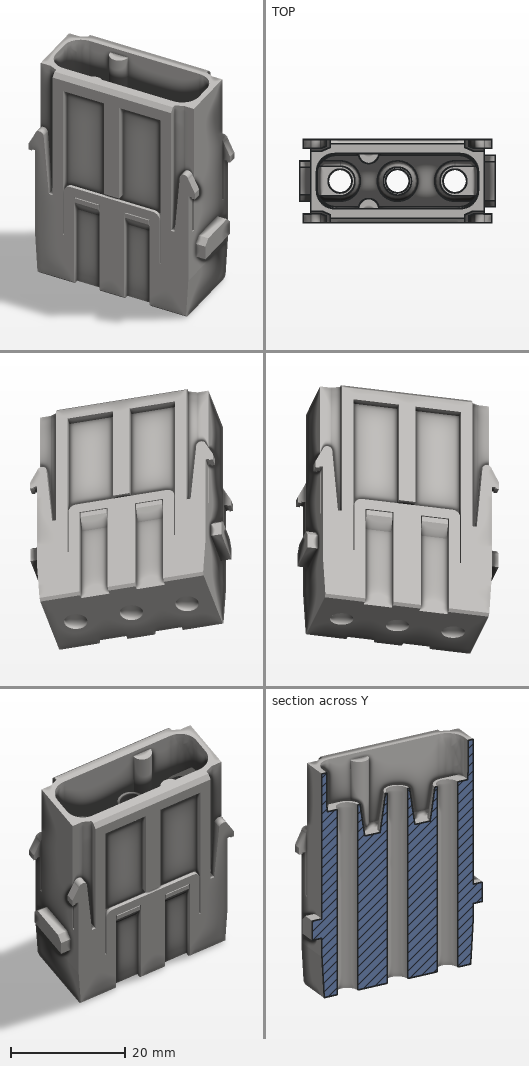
import cadquery as cq
import math

HEIGHT = 43.1
HALF_WIDTH = 15.2
HALF_DEPTH = 7.305
BASE_HALF_WIDTH = 14.75
BASE_TAPER_HEIGHT = 7.97
TOP_CHAMFER = 0.78
BASE_CHAMFER = 0.47

CORE_HALF_DEPTH = 5.25
PLATE_HALF_WIDTH = 11.75
BEVEL_START_X = 13.25
BEVEL_END_Y = 5.9
ARM_SLOT_BOTTOM = 17.5
ARM_GAP = 0.47

ARM_ROOT_X = 12.5
ARM_TIP_INNER_X = 13.55
ARM_TIP_Z = 30.13
ARM_SHOULDER_Z = 29.45
HOOK_X = 16.5
HOOK_TOP_Z = 26.9
HOOK_BOTTOM_Z = 25.6
HOOK_LIP = 0.65
HOOK_RELIEF = 0.25

TAB_REACH = 17.1
TAB_BOTTOM = 11.5
TAB_TOP = 15.3
TAB_CHAMFER = 1.1
TAB_WIDTH_LEFT = 7.1
TAB_WIDTH_RIGHT = 9.05

CAVITY_FLOOR = 29.3
CAVITY_HALF_X = 14.2
CAVITY_HALF_Y = 4.83
CAVITY_RADIUS = 3.28
CAVITY_DRAFT_X = 0.17
CAVITY_DRAFT_Y = 0.3

CONTACT_PITCH = 10.05
CONTACT_DIAMETER = 4.1
BOSS_BASE_RADIUS = 3.55
CENTER_BOSS_TOP = 36.55
OUTER_BOSS_TOP = 35.6
BOSS_DRAFT = 8.5
KEY_X = -5.05
KEY_RADIUS = 1.75
KEY_TOP = 42.02

PANEL_HALF_WIDTH = 9.7
PANEL_TOP = 40.13
PANEL_DEPTH = 1.5
RIB_WIDTH = 2.97
RIB_BOTTOM = 21.0
TONGUE_HALF_WIDTH = 9.53
TONGUE_TOP = 20.35
TONGUE_RADIUS = 1.4
TONGUE_SLIT_BOTTOM = 9.85
TONGUE_LIP = 0.6
TONGUE_RELIEF_BOTTOM = 19.4

GROOVE_X = 5.0
GROOVE_WIDTH = 5.1
GROOVE_TOP = 18.45
GROOVE_DEPTH = 1.3
RAMP_WIDTH = 4.7
RAMP_BOTTOM = 15.13
RAMP_FLAT_BOTTOM = 17.33
RAMP_TOP = 18.27

OVERCUT = 2.15


def box(x0, x1, y0, y1, z0, z1):
    return cq.Workplane("XY").box(x1 - x0, y1 - y0, z1 - z0, centered=False).translate((x0, y0, z0))


def front_prism(sketch, y0, y1):
    """Extrude an XZ outline from y0 to y1."""
    return sketch.extrude(y0 - y1).translate((0, y0, 0))


def mirrored(solid, plane):
    return solid.union(solid.mirror(plane))


def outer_body():
    front = cq.Workplane("XZ").polyline([
        (-BASE_HALF_WIDTH, 0),
        (BASE_HALF_WIDTH, 0),
        (HALF_WIDTH, BASE_TAPER_HEIGHT),
        (HALF_WIDTH, HEIGHT),
        (-HALF_WIDTH, HEIGHT),
        (-HALF_WIDTH, BASE_TAPER_HEIGHT),
    ]).close()
    body = front_prism(front, -HALF_DEPTH, HALF_DEPTH)
    body = body.faces(">Z").edges("|X").chamfer(TOP_CHAMFER)
    return body.faces("<Z").edges("|X").chamfer(BASE_CHAMFER)


def corner_prism(gap, z_top):
    """Volume in front of the core at the +X -Y corner, set back from the core by a gap."""
    bevel_slope = (BEVEL_END_Y - CORE_HALF_DEPTH) / (BEVEL_START_X - PLATE_HALF_WIDTH)
    bevel_shift = gap * math.tan(math.atan(bevel_slope) / 2)
    start_x = BEVEL_START_X + bevel_shift
    start_y = CORE_HALF_DEPTH + gap
    end_y = start_y + bevel_slope * (start_x - PLATE_HALF_WIDTH)
    far_x = HALF_WIDTH + OVERCUT
    far_y = HALF_DEPTH + OVERCUT
    outline = [
        (PLATE_HALF_WIDTH, -end_y),
        (start_x, -start_y),
        (far_x, -start_y),
        (far_x, -far_y),
        (PLATE_HALF_WIDTH, -far_y),
    ]
    base = cq.Workplane("XY").workplane(offset=ARM_SLOT_BOTTOM)
    return base.polyline(outline).close().extrude(z_top - ARM_SLOT_BOTTOM)


def latch_arm():
    tip_x = (ARM_TIP_INNER_X + HALF_WIDTH) / 2
    lip_x = HOOK_X - HOOK_LIP
    outline = (
        cq.Workplane("XZ")
        .moveTo(ARM_ROOT_X, ARM_SLOT_BOTTOM)
        .lineTo(ARM_TIP_INNER_X, ARM_SHOULDER_Z)
        .threePointArc((tip_x, ARM_TIP_Z), (HALF_WIDTH, ARM_SHOULDER_Z))
        .lineTo(HOOK_X, HOOK_TOP_Z)
        .lineTo(HOOK_X, HOOK_BOTTOM_Z)
        .lineTo(lip_x, HOOK_BOTTOM_Z)
        .lineTo(lip_x, HOOK_BOTTOM_Z + HOOK_RELIEF)
        .lineTo(HALF_WIDTH, HOOK_BOTTOM_Z + HOOK_RELIEF)
        .lineTo(HALF_WIDTH, ARM_SLOT_BOTTOM)
        .close()
    )
    arm = front_prism(outline, -HALF_DEPTH, -CORE_HALF_DEPTH)
    return arm.intersect(corner_prism(ARM_GAP, HEIGHT))


def coding_tab(width):
    """Tab at +X, rooted inside the side wall."""
    tab = cq.Workplane("YZ").rect(width, TAB_TOP - TAB_BOTTOM).extrude(TAB_REACH - BASE_HALF_WIDTH)
    tab = tab.edges("|X and >Z").chamfer(TAB_CHAMFER)
    return tab.translate((BASE_HALF_WIDTH, 0, (TAB_TOP + TAB_BOTTOM) / 2))


def cavity():
    def rounded_rectangle(half_x, half_y, radius):
        return cq.Sketch().rect(2 * half_x, 2 * half_y).vertices().fillet(radius)

    floor = rounded_rectangle(CAVITY_HALF_X - CAVITY_DRAFT_X, CAVITY_HALF_Y - CAVITY_DRAFT_Y, CAVITY_RADIUS)
    rim = rounded_rectangle(CAVITY_HALF_X, CAVITY_HALF_Y, CAVITY_RADIUS)
    depth = HEIGHT - CAVITY_FLOOR
    return (
        cq.Workplane("XY")
        .workplane(offset=CAVITY_FLOOR)
        .placeSketch(floor, rim.moved(cq.Location(cq.Vector(0, 0, depth))))
        .loft(ruled=True)
    )


def center_boss():
    base = cq.Workplane("XY").workplane(offset=CAVITY_FLOOR)
    return base.circle(BOSS_BASE_RADIUS).extrude(CENTER_BOSS_TOP - CAVITY_FLOOR, taper=BOSS_DRAFT)


def outer_boss():
    """Half-round boss at +X whose straight flanks run into the end wall."""
    far_x = HALF_WIDTH + OVERCUT
    outline = (
        cq.Workplane("XY")
        .workplane(offset=CAVITY_FLOOR)
        .moveTo(far_x, BOSS_BASE_RADIUS)
        .lineTo(CONTACT_PITCH, BOSS_BASE_RADIUS)
        .threePointArc((CONTACT_PITCH - BOSS_BASE_RADIUS, 0), (CONTACT_PITCH, -BOSS_BASE_RADIUS))
        .lineTo(far_x, -BOSS_BASE_RADIUS)
        .close()
    )
    return outline.extrude(OUTER_BOSS_TOP - CAVITY_FLOOR, taper=BOSS_DRAFT)


def key_ribs():
    base = cq.Workplane("XY").workplane(offset=CAVITY_FLOOR)
    centers = [(KEY_X, -CAVITY_HALF_Y), (KEY_X, CAVITY_HALF_Y)]
    return base.pushPoints(centers).circle(KEY_RADIUS).extrude(KEY_TOP - CAVITY_FLOOR)


def panel_recess():
    """Front recess around the rib and the tongue, including the slits beside the tongue."""
    y_floor = -HALF_DEPTH + PANEL_DEPTH
    y_out = -HALF_DEPTH - OVERCUT
    recess = box(-PANEL_HALF_WIDTH, PANEL_HALF_WIDTH, y_out, y_floor, TONGUE_SLIT_BOTTOM, PANEL_TOP)
    rib = box(-RIB_WIDTH / 2, RIB_WIDTH / 2, y_out, y_floor, RIB_BOTTOM, PANEL_TOP)
    tongue = box(-TONGUE_HALF_WIDTH, TONGUE_HALF_WIDTH, y_out, y_floor, TONGUE_SLIT_BOTTOM, TONGUE_TOP)
    tongue = tongue.edges("|Y and >Z").fillet(TONGUE_RADIUS)
    relief = box(
        -TONGUE_HALF_WIDTH, TONGUE_HALF_WIDTH,
        -HALF_DEPTH + TONGUE_LIP, y_floor,
        TONGUE_RELIEF_BOTTOM, TONGUE_TOP,
    )
    return recess.cut(rib).cut(tongue.cut(relief))


def tongue_groove(x):
    """Front groove open at the base, with a ramp rising to the face at its top end."""
    y_face = -HALF_DEPTH
    y_floor = y_face + GROOVE_DEPTH
    groove = box(x - GROOVE_WIDTH / 2, x + GROOVE_WIDTH / 2, y_face - OVERCUT, y_floor, -OVERCUT, GROOVE_TOP)
    ramp = cq.Workplane("YZ").polyline([
        (y_floor, RAMP_BOTTOM),
        (y_face, RAMP_FLAT_BOTTOM),
        (y_face, RAMP_TOP),
        (y_floor, RAMP_TOP),
    ]).close().extrude(RAMP_WIDTH / 2, both=True).translate((x, 0, 0))
    return groove.cut(ramp)


def four_corners(solid):
    """Repeat a corner feature at all four vertical corners."""
    return mirrored(mirrored(solid, "YZ"), "XZ")


result = outer_body()
result = result.cut(four_corners(corner_prism(0, HEIGHT + OVERCUT)))
result = result.union(four_corners(latch_arm()))
result = result.union(coding_tab(TAB_WIDTH_RIGHT))
result = result.union(coding_tab(TAB_WIDTH_LEFT).mirror("YZ"))

cavity_volume = cavity()
inserts = mirrored(outer_boss(), "YZ").union(center_boss()).union(key_ribs())
result = result.cut(cavity_volume.cut(inserts))

result = result.cut(mirrored(panel_recess(), "XZ"))
for groove_x in (-GROOVE_X, GROOVE_X):
    result = result.cut(mirrored(tongue_groove(groove_x), "XZ"))

contact_centers = [(-CONTACT_PITCH, 0), (0, 0), (CONTACT_PITCH, 0)]
contact_holes = cq.Workplane("XY").pushPoints(contact_centers).circle(CONTACT_DIAMETER / 2).extrude(HEIGHT)
result = result.cut(contact_holes)